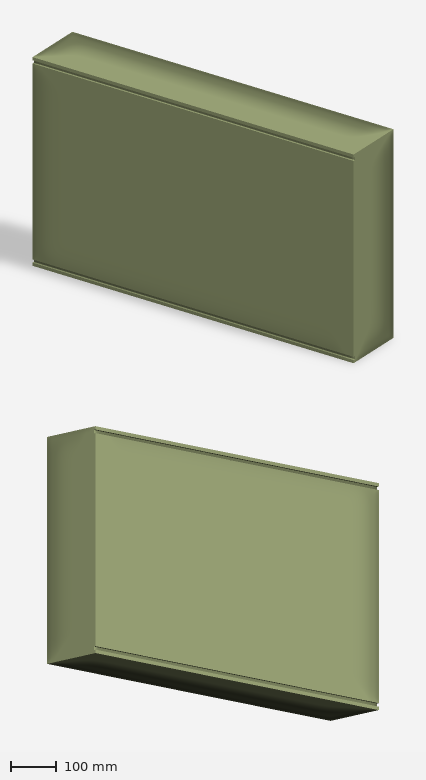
import cadquery as cq
import math

span_x = 861.0
span_y = 202.0
height = 508.0
tilt_degrees = 3.3

groove_edge_offset = 8.0
groove_width = 8.0
groove_depth = 5.0

tilt_cos = math.cos(math.radians(tilt_degrees))
tilt_sin = math.sin(math.radians(tilt_degrees))
tilt_double_cos = math.cos(math.radians(2 * tilt_degrees))
length = (span_x * tilt_cos - span_y * tilt_sin) / tilt_double_cos
thickness = (span_y * tilt_cos - span_x * tilt_sin) / tilt_double_cos


def make_groove(center_z):
    """Cutter for one lengthwise groove, open at the front face and both ends."""
    return (
        cq.Workplane("XY")
        .box(length, 2 * groove_depth, groove_width)
        .translate((0, -thickness / 2, center_z))
    )


panel = cq.Workplane("XY").box(length, thickness, height)

groove_center_z = height / 2 - groove_edge_offset - groove_width / 2
for side in (1, -1):
    panel = panel.cut(make_groove(side * groove_center_z))

result = panel.rotate((0, 0, 0), (0, 0, 1), -tilt_degrees)